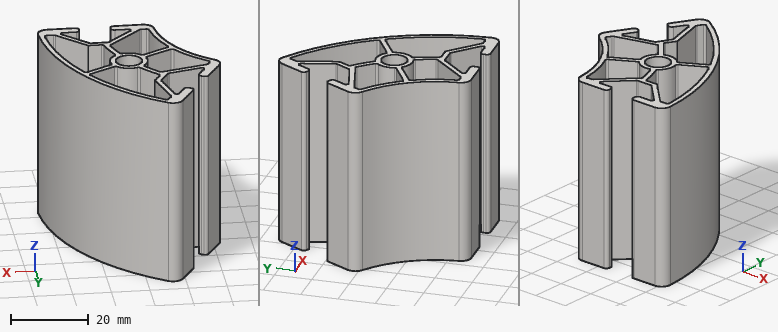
import cadquery as cq
import math

length = 50.0
bend_angle = 60.0
outer_radius = 60.0
inner_radius = outer_radius / 2
middle_radius = (outer_radius + inner_radius) / 2
wall = 1.5
outer_corner_radius = 2.75

bore_radius = 3.4
hub_radius = bore_radius + wall

slot_opening = 8.15
slot_depth = 10.1
slot_roof_width = 4.85
slot_roof_radius = 0.5
slot_corner_radius = 0.6
lip_thickness = 2.6
lip_tip_radius = 0.95

housing_height = slot_depth + wall
housing_roof_width = slot_roof_width + 2 * wall * math.tan(math.radians(45 / 2))

inner_floor_height = 3.0
outer_floor_height = 3.75
chamber_corner_radius = 0.6


def cylinder(radius):
    return cq.Workplane("XY").circle(radius).extrude(length)


def block(x_start, x_end, y_start, y_end):
    return (
        cq.Workplane("XY")
        .center((x_start + x_end) / 2, (y_start + y_end) / 2)
        .rect(x_end - x_start, y_end - y_start)
        .extrude(length)
    )


def ring_sector(small_radius, large_radius, angle):
    """Part of a ring that starts at y = 0 and spans the given angle in degrees."""
    reach = 2 * outer_radius
    end_x = reach * math.cos(math.radians(angle))
    end_y = reach * math.sin(math.radians(angle))
    wedge = cq.Workplane("XY").polyline([(0, 0), (reach, 0), (end_x, end_y)]).close().extrude(length)
    return cylinder(large_radius).cut(cylinder(small_radius)).intersect(wedge)


def slot_trapezoid(roof_width, roof_height, base_height):
    """Prism with 45-degree flanks, centred between the two curved walls."""
    half_roof = roof_width / 2
    half_base = half_roof + roof_height - base_height
    return (
        cq.Workplane("XY")
        .moveTo(middle_radius - half_base, base_height)
        .lineTo(middle_radius + half_base, base_height)
        .lineTo(middle_radius + half_roof, roof_height)
        .lineTo(middle_radius - half_roof, roof_height)
        .close()
        .extrude(length)
    )


def at_mid_bend(shape):
    """Turn a shape from the x axis to the middle of the bend."""
    return shape.rotate((0, 0, 0), (0, 0, 1), bend_angle / 2)


def with_mirror_image(shape):
    """Join a shape with its mirror image across the middle of the bend."""
    image = shape.mirror("XZ").rotate((0, 0, 0), (0, 0, 1), bend_angle)
    return shape.union(image)


def make_slot():
    """T-slot of the y = 0 end face, with rounded lip tips."""
    undercut = slot_trapezoid(slot_roof_width, slot_depth, lip_thickness)
    undercut = undercut.edges("|Z and <Y").fillet(slot_corner_radius)
    undercut = undercut.edges("|Z and >Y").fillet(slot_roof_radius)
    left_tip = middle_radius - slot_opening / 2
    right_tip = middle_radius + slot_opening / 2
    left_end = left_tip - lip_tip_radius
    right_end = right_tip + lip_tip_radius
    left_lip = block(left_end - wall, left_tip, 0, lip_thickness)
    right_lip = block(right_tip, right_end + wall, 0, lip_thickness)
    left_lip = left_lip.edges("|Z and >X").fillet(lip_tip_radius)
    right_lip = right_lip.edges("|Z and <X").fillet(lip_tip_radius)
    mouth = block(left_end, right_end, 0, lip_thickness).cut(left_lip).cut(right_lip)
    return undercut.union(mouth)


def make_webs():
    """Material crossing the space between the curved walls, in the half next to y = 0."""
    housing = slot_trapezoid(housing_roof_width, housing_height, 0)
    inner_floor = block(inner_radius, middle_radius, 0, inner_floor_height)
    outer_floor = block(middle_radius, outer_radius, 0, outer_floor_height)
    curved_web = ring_sector(middle_radius - wall / 2, middle_radius + wall / 2, bend_angle / 2)
    spoke = at_mid_bend(block(inner_radius, outer_radius, -wall / 2, wall / 2))
    hub = at_mid_bend(cylinder(hub_radius).translate((middle_radius, 0, 0)))
    roof_start = middle_radius - housing_roof_width / 2
    leg_end = (
        cq.Workplane("XY")
        .moveTo(roof_start, housing_height)
        .line(wall, wall)
        .line(0, -wall)
        .close()
        .extrude(length)
    )
    webs = housing.union(leg_end).union(inner_floor).union(outer_floor)
    return webs.union(curved_web).union(spoke).union(hub)


def make_chambers():
    """The two hollow chambers in the half next to y = 0."""
    space = ring_sector(inner_radius + wall, outer_radius - wall, bend_angle / 2)
    chambers = space.cut(make_webs())
    corner_x = middle_radius + housing_roof_width / 2
    margin = wall / 4
    sharp_corner = cq.selectors.BoxSelector(
        (corner_x - margin, housing_height - margin, 0),
        (corner_x + margin, housing_height + margin, length),
    )
    upright = cq.selectors.ParallelDirSelector(cq.Vector(0, 0, 1))
    return chambers.edges(upright - sharp_corner).fillet(chamber_corner_radius)


body = ring_sector(inner_radius, outer_radius, bend_angle).edges("|Z").fillet(outer_corner_radius)
bore = at_mid_bend(cylinder(bore_radius).translate((middle_radius, 0, 0)))
result = body.cut(with_mirror_image(make_slot())).cut(with_mirror_image(make_chambers())).cut(bore)